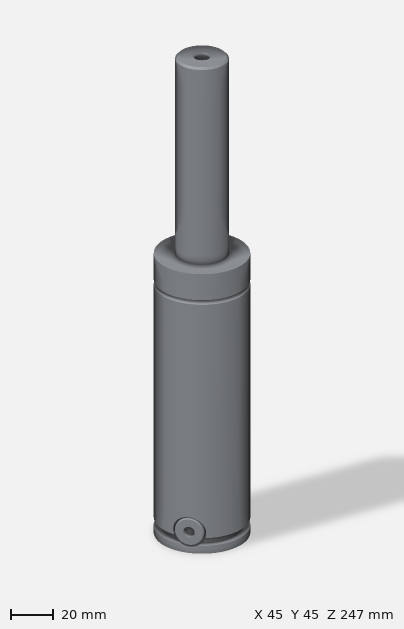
import cadquery as cq
import math

body_diameter = 45.0
body_height = 145.0

base_groove_diameter = 39.0
base_groove_bottom = 4.0
base_groove_top = 8.0

head_height = 13.5
head_groove_radius = 1.2

total_height = 247.0
rod_diameter = 25.0
rod_chamfer = 1.0

tap_drill_diameter = 6.8
tap_mouth_diameter = 8.4
tap_depth = 20.0
drill_point_angle = 118.0

plug_seat_diameter = 16.0
plug_diameter = 14.0
plug_rim_chamfer = 0.5
plug_height = 10.5
plug_face_depth = 0.5
plug_seat_depth = 4.5
plug_hole_diameter = 5.5
plug_hole_depth = 3.5

body_radius = body_diameter / 2
rod_radius = rod_diameter / 2


def make_body_and_rod():
    """Revolve the half profile of body, grooves and rod about Z."""
    base_groove_radius = base_groove_diameter / 2
    head_groove_top = body_height - head_height
    head_groove_bottom = head_groove_top - 2 * head_groove_radius
    head_groove_floor = (body_radius - head_groove_radius, head_groove_top - head_groove_radius)
    profile = (
        cq.Workplane("XZ")
        .moveTo(0, 0)
        .lineTo(body_radius, 0)
        .lineTo(body_radius, base_groove_bottom)
        .lineTo(base_groove_radius, base_groove_bottom)
        .lineTo(base_groove_radius, base_groove_top)
        .lineTo(body_radius, base_groove_top)
        .lineTo(body_radius, head_groove_bottom)
        .threePointArc(head_groove_floor, (body_radius, head_groove_top))
        .lineTo(body_radius, body_height)
        .lineTo(rod_radius, body_height)
        .lineTo(rod_radius, total_height - rod_chamfer)
        .lineTo(rod_radius - rod_chamfer, total_height)
        .lineTo(0, total_height)
        .close()
    )
    return profile.revolve(360, (0, 0), (0, 1))


def make_rod_end_hole():
    """Tap drill with a 45 degree countersunk mouth and a conical bottom."""
    drill_radius = tap_drill_diameter / 2
    mouth_radius = tap_mouth_diameter / 2
    point_length = drill_radius / math.tan(math.radians(drill_point_angle / 2))
    hole_bottom = total_height - tap_depth
    profile = [
        (0, hole_bottom - point_length),
        (drill_radius, hole_bottom),
        (drill_radius, total_height - (mouth_radius - drill_radius)),
        (mouth_radius, total_height),
        (0, total_height),
    ]
    return cq.Workplane("XZ").polyline(profile).close().revolve(360, (0, 0), (0, 1))


def plug_axis_cylinder(diameter, outer_depth, length):
    """Cylinder on the plug axis, starting outer_depth inside the body surface."""
    start = cq.Workplane("XZ", origin=(0, outer_depth - body_radius, plug_height))
    return start.circle(diameter / 2).extrude(-length)


def make_plug():
    """Plug with a chamfered rim and a blind centre hole."""
    plug = plug_axis_cylinder(plug_diameter, plug_face_depth, plug_seat_depth - plug_face_depth)
    plug = plug.faces("<Y").chamfer(plug_rim_chamfer)
    return plug.cut(plug_axis_cylinder(plug_hole_diameter, plug_face_depth, plug_hole_depth))


plug_seat = plug_axis_cylinder(plug_seat_diameter, 0, plug_seat_depth)
result = make_body_and_rod().cut(make_rod_end_hole()).cut(plug_seat).union(make_plug())